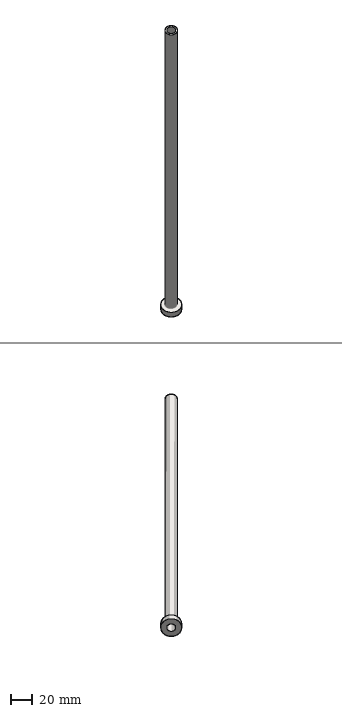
import cadquery as cq

overall_length = 400.0
head_diameter = 20.0
head_height = 7.0
tube_diameter = 12.0
bore_diameter = 8.5
neck_fillet_radius = 1.0

head_radius = head_diameter / 2
tube_radius = tube_diameter / 2
bore_radius = bore_diameter / 2

half_section = (
    cq.Workplane("XZ")
    .moveTo(-bore_radius, 0)
    .lineTo(-head_radius, 0)
    .lineTo(-head_radius, head_height)
    .lineTo(-tube_radius - neck_fillet_radius, head_height)
    .radiusArc((-tube_radius, head_height + neck_fillet_radius), -neck_fillet_radius)
    .lineTo(-tube_radius, overall_length)
    .lineTo(-bore_radius, overall_length)
    .close()
)

result = half_section.revolve(360, (0, 0, 0), (0, 1, 0))